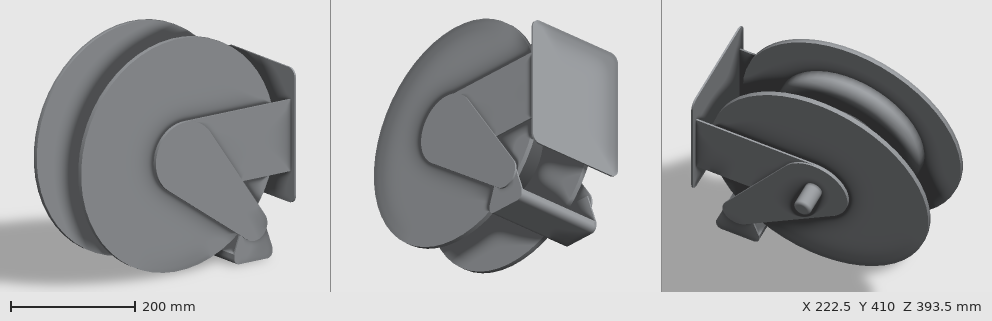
import cadquery as cq
import math


flange_diameter = 390.0
flange_thickness = 8.0
flange_outer_x = 64.0
flange_inner_x = flange_outer_x - flange_thickness
drum_diameter = 155.0
drive_case_diameter = 260.0
drive_case_start_x = 25.0
drive_case_fillet = 16.5
hub_diameter = 70.0
shaft_diameter = 30.0
shaft_end_fillet = 5.0

sheet = 3.0
arm_outer_x = 81.5
arm_inner_x = arm_outer_x - sheet
arm_radius = 60.3

overall_width = 222.5
overall_depth = 410.0
plate_width = 186.0
plate_height = 226.5
plate_corner_radius = 15.0
plate_back_y = overall_depth - flange_diameter / 2
plate_front_y = plate_back_y - sheet
shaft_end_x = plate_width / 2 - overall_width

link_end_radius = 26.0
foot_y = 137.8
foot_pivot_z = -137.8

overall_height = 393.5
foot_bottom_z = flange_diameter / 2 - overall_height
foot_width = 76.3
foot_block_height = 17.5
foot_corner_radius = 10.0
foot_top_z = -127.0
foot_top_width = 38.5


def disc(diameter, start_x, end_x):
    """Cylinder about the spool axis."""
    return cq.Workplane("YZ", origin=(start_x, 0, 0)).circle(diameter / 2).extrude(end_x - start_x)


def make_spool():
    spool = disc(hub_diameter, -arm_inner_x, arm_inner_x)
    spool = spool.union(disc(drum_diameter, -flange_inner_x, flange_inner_x))
    spool = spool.union(disc(flange_diameter, -flange_outer_x, -flange_inner_x))
    spool = spool.union(disc(flange_diameter, flange_inner_x, flange_outer_x))
    drive_case = disc(drive_case_diameter, drive_case_start_x, flange_inner_x)
    drive_case = drive_case.faces("<X").edges().fillet(drive_case_fillet)
    shaft = disc(shaft_diameter, shaft_end_x, -arm_inner_x)
    shaft = shaft.faces("<X").edges().fillet(shaft_end_fillet)
    return spool.union(drive_case).union(shaft)


def make_wall_plate():
    plate = cq.Workplane("XY").box(plate_width, sheet, plate_height)
    plate = plate.edges("|Y").fillet(plate_corner_radius)
    return plate.translate((0, plate_back_y - sheet / 2, 0))


def make_arm(start_x):
    """Flat arm with a round end about the spool axis, reaching the wall plate."""
    return (
        cq.Workplane("YZ", origin=(start_x, 0, 0))
        .moveTo(plate_front_y, arm_radius)
        .lineTo(0, arm_radius)
        .threePointArc((-arm_radius, 0), (0, -arm_radius))
        .lineTo(plate_front_y, -arm_radius)
        .close()
        .extrude(sheet)
    )


def make_link(start_x):
    """Two round ends of different radius joined by their outer tangent lines."""
    direction = math.atan2(foot_pivot_z, foot_y)
    spacing = math.hypot(foot_y, foot_pivot_z)
    normal_turn = math.acos((arm_radius - link_end_radius) / spacing)

    def on_axis_end(angle):
        return arm_radius * math.cos(angle), arm_radius * math.sin(angle)

    def on_foot_end(angle):
        return (
            foot_y + link_end_radius * math.cos(angle),
            foot_pivot_z + link_end_radius * math.sin(angle),
        )

    upper = direction + normal_turn
    lower = direction - normal_turn
    return (
        cq.Workplane("YZ", origin=(start_x, 0, 0))
        .moveTo(*on_axis_end(upper))
        .threePointArc(on_axis_end(direction + math.pi), on_axis_end(lower))
        .lineTo(*on_foot_end(lower))
        .threePointArc(on_foot_end(direction), on_foot_end(upper))
        .close()
        .extrude(sheet)
    )


def make_foot_side(start_x):
    """Side plate tapering from the foot block up behind the link."""
    block_top_z = foot_bottom_z + foot_block_height
    corners = [
        (foot_y - foot_width / 2, block_top_z),
        (foot_y + foot_width / 2, block_top_z),
        (foot_y + foot_top_width / 2, foot_top_z),
        (foot_y - foot_top_width / 2, foot_top_z),
    ]
    return cq.Workplane("YZ", origin=(start_x, 0, 0)).polyline(corners).close().extrude(sheet)


def make_foot_block():
    block = cq.Workplane("XY").box(2 * arm_outer_x, foot_width, foot_block_height)
    block = block.faces("<Z").edges("|X").fillet(foot_corner_radius)
    return block.translate((0, foot_y, foot_bottom_z + foot_block_height / 2))


result = make_spool().union(make_wall_plate()).union(make_foot_block())
for inner_start_x, link_start_x in (
    (-arm_outer_x, -arm_outer_x - sheet),
    (arm_inner_x, arm_outer_x),
):
    result = result.union(make_arm(inner_start_x))
    result = result.union(make_foot_side(inner_start_x))
    result = result.union(make_link(link_start_x))